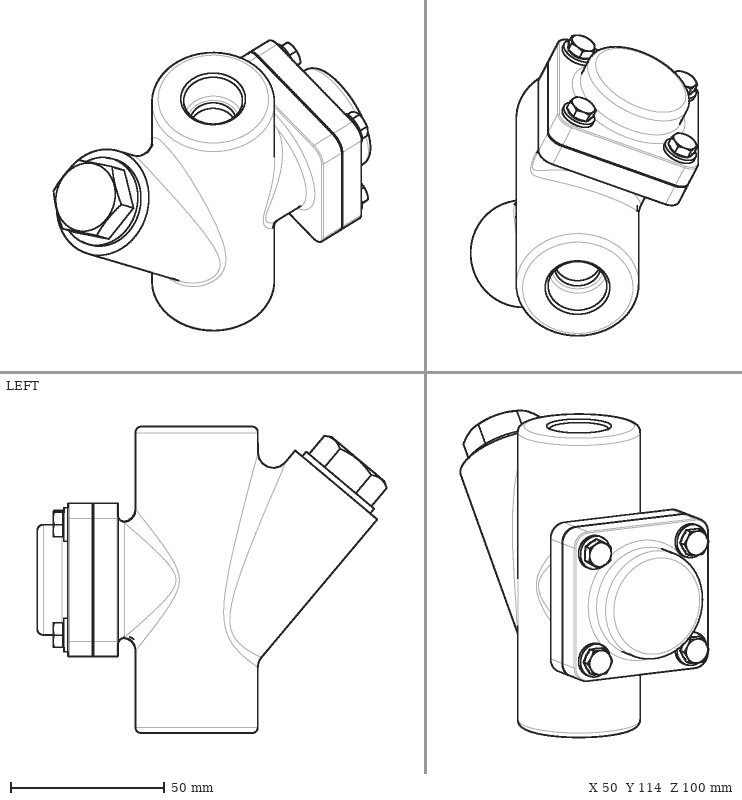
import cadquery as cq
import math

pipe_dia = 40.0
pipe_length = 100.0
pipe_edge_radius = 2.0
blend_radius = 5.0

socket_mouth_dia = 21.1
socket_dia = 19.17
socket_corner_radius = 1.0
socket_end_dia = 15.0
socket_mouth_depth = (socket_mouth_dia - socket_dia) / 2
socket_depth = 12.0
socket_end_length = 3.0
socket_floor_depth = socket_depth + socket_end_length

branch_dia = 35.0
branch_tilt = 40.0
branch_length = 70.8
branch_start_z = -23.3

plug_collar_dia = 29.0
plug_collar_height = 2.0
plug_head_flats = 23.0
plug_head_height = 9.0
plug_top_dia = 22.5
plug_turn = 90.0

flange_size = 50.0
flange_corner_radius = 5.0
flange_thickness = 8.0
flange_edge_radius = 0.4
flange_front_y = 25.6
gasket_dia = 40.0
gasket_thickness = 0.4
joint_y = flange_front_y + flange_thickness
cover_front_y = joint_y + gasket_thickness
cover_back_y = cover_front_y + flange_thickness

neck_dia = 38.0
neck_root_radius = 2.0
neck_blend_radius = 4.0
boss_dia = 36.0
boss_height = 10.0
boss_radius = 2.0

bevel_angle = 30.0

screw_offset = 18.0
screw_dia = 6.0
screw_clearance_dia = 6.4
screw_depth_in_housing = 6.0
screw_flange_dia = 11.0
screw_flange_thickness = 1.3
screw_neck_height = 0.3
screw_head_flats = 8.0
screw_head_height = 3.2
screw_places = [
    (-screw_offset, screw_offset, 0.0),
    (-screw_offset, -screw_offset, 0.0),
    (screw_offset, -screw_offset, 0.0),
    (screw_offset, screw_offset, 28.0),
]


def across_corners(flats):
    return flats / math.cos(math.radians(30))


def plane_y(y, x=0.0, z=0.0):
    """Plane facing +Y whose local X is the part's -X and local Y the part's Z."""
    return cq.Plane(origin=(x, y, z), xDir=(-1, 0, 0), normal=(0, 1, 0))


def disc_y(diameter, y, thickness, x=0.0, z=0.0):
    """Round disc or rod that starts at a Y position and grows towards +Y."""
    return cq.Workplane(plane_y(y, x, z)).circle(diameter / 2).extrude(thickness)


def branch_plane(distance):
    """Plane square to the branch axis, at a distance along it from the pipe axis."""
    tilt = math.radians(branch_tilt)
    axis = cq.Vector(0, -math.sin(tilt), math.cos(tilt))
    origin = cq.Vector(0, 0, branch_start_z) + axis * distance
    return cq.Plane(origin=origin, xDir=(1, 0, 0), normal=axis)


def flange_plate(front_y):
    plate = cq.Workplane(plane_y(front_y)).rect(flange_size, flange_size).extrude(flange_thickness)
    return plate.edges("|Y").fillet(flange_corner_radius)


def drill(body, start_y, length, diameter):
    """Cut one round hole at each screw place."""
    for x, z, _ in screw_places:
        body = body.cut(disc_y(diameter, start_y, length, x, z))
    return body


def socket_cutter():
    """Stepped socket turned about Z, opening at the top end of the pipe."""
    top = pipe_length / 2
    return (
        cq.Workplane("XZ")
        .moveTo(0, top)
        .lineTo(socket_mouth_dia / 2, top)
        .lineTo(socket_dia / 2, top - socket_mouth_depth)
        .lineTo(socket_dia / 2, top - socket_depth + socket_corner_radius)
        .radiusArc((socket_dia / 2 - socket_corner_radius, top - socket_depth), socket_corner_radius)
        .lineTo(socket_end_dia / 2, top - socket_depth)
        .lineTo(socket_end_dia / 2, top - socket_floor_depth)
        .lineTo(0, top - socket_floor_depth)
        .close()
        .revolve(360, (0, 0, 0), (0, 1, 0))
    )


def root_ring(shaft_radius, face_y, reach):
    """Concave blend at the foot of a shaft on the Y axis. A negative reach runs towards -Y."""
    foot_radius = shaft_radius + abs(reach)
    middle = abs(reach) * (1 - math.sqrt(0.5))
    return (
        cq.Workplane("XY")
        .moveTo(0, face_y)
        .lineTo(foot_radius, face_y)
        .threePointArc(
            (shaft_radius + middle, face_y + math.copysign(middle, reach)),
            (shaft_radius, face_y + reach),
        )
        .lineTo(0, face_y + reach)
        .close()
        .revolve(360, (0, 0, 0), (0, 1, 0))
    )


def blend_junction(body, radius):
    """Round every curve where two cylinders meet. Plain rims and seams are skipped."""
    return body.edges("not(%CIRCLE or %LINE)").fillet(radius)


def make_housing():
    pipe = cq.Workplane("XY").circle(pipe_dia / 2).extrude(pipe_length / 2, both=True)
    neck = disc_y(neck_dia, 0, flange_front_y)
    branch = cq.Workplane(branch_plane(0)).circle(branch_dia / 2).extrude(branch_length)

    back_half = cq.Workplane("XY").box(
        2 * flange_size, 2 * flange_size, 2 * pipe_length, centered=(True, False, True)
    )
    neck_side = blend_junction(pipe.union(neck), neck_blend_radius).intersect(back_half)
    branch_side = blend_junction(pipe.union(branch), blend_radius)
    body = branch_side.union(neck_side)

    plate = flange_plate(flange_front_y).faces("<Y").edges().fillet(flange_edge_radius)
    body = body.union(plate)
    body = body.union(root_ring(neck_dia / 2, flange_front_y, -neck_root_radius))

    body = body.faces("<Z or >Z").edges().fillet(pipe_edge_radius)
    socket = socket_cutter()
    body = body.cut(socket).cut(socket.mirror("XY"))
    return drill(body, joint_y - screw_depth_in_housing, screw_depth_in_housing, screw_dia)


def make_cover():
    plate = flange_plate(cover_front_y).faces(">Y").edges().fillet(flange_edge_radius)
    boss = disc_y(boss_dia, cover_back_y, boss_height)
    boss = boss.faces(">Y").edges().fillet(boss_radius)
    boss = boss.union(root_ring(boss_dia / 2, cover_back_y, boss_radius))
    cover = plate.union(boss)
    cover = drill(cover, cover_back_y, boss_radius, screw_flange_dia)
    return drill(cover, cover_front_y, flange_thickness, screw_clearance_dia)


def hex_head(plane, flats, height, top_dia, turn):
    """Hexagon head standing on a plane, its corners bevelled down to a round top."""
    base = cq.Workplane(plane).transformed(rotate=(0, 0, turn))
    prism = base.polygon(6, across_corners(flats)).extrude(height)
    base_radius = top_dia / 2 + height / math.tan(math.radians(bevel_angle))
    cone = cq.Workplane(plane).circle(base_radius).extrude(height, taper=90 - bevel_angle)
    return prism.intersect(cone)


def make_plug():
    collar = cq.Workplane(branch_plane(branch_length)).circle(plug_collar_dia / 2).extrude(plug_collar_height)
    head_plane = branch_plane(branch_length + plug_collar_height)
    return collar.union(hex_head(head_plane, plug_head_flats, plug_head_height, plug_top_dia, plug_turn))


def make_gasket():
    return disc_y(gasket_dia, joint_y, gasket_thickness)


def make_screw(x, z, turn):
    tip_y = joint_y - screw_depth_in_housing
    neck_y = cover_back_y + screw_flange_thickness
    head_plane = plane_y(neck_y + screw_neck_height, x, z)
    shank = disc_y(screw_dia, tip_y, cover_back_y - tip_y, x, z)
    flange = disc_y(screw_flange_dia, cover_back_y, screw_flange_thickness, x, z)
    neck = disc_y(screw_head_flats, neck_y, screw_neck_height, x, z)
    head = hex_head(head_plane, screw_head_flats, screw_head_height, screw_head_flats, turn)
    return shank.union(flange).union(neck).union(head)


housing = make_housing()
cover = make_cover()
gasket = make_gasket()
plug = make_plug()
screws = [make_screw(x, z, turn) for x, z, turn in screw_places]

result = cq.Compound.makeCompound(
    [
        housing.val(),
        cover.val(),
        gasket.val(),
        plug.val(),
        *[screw.val() for screw in screws],
    ]
)